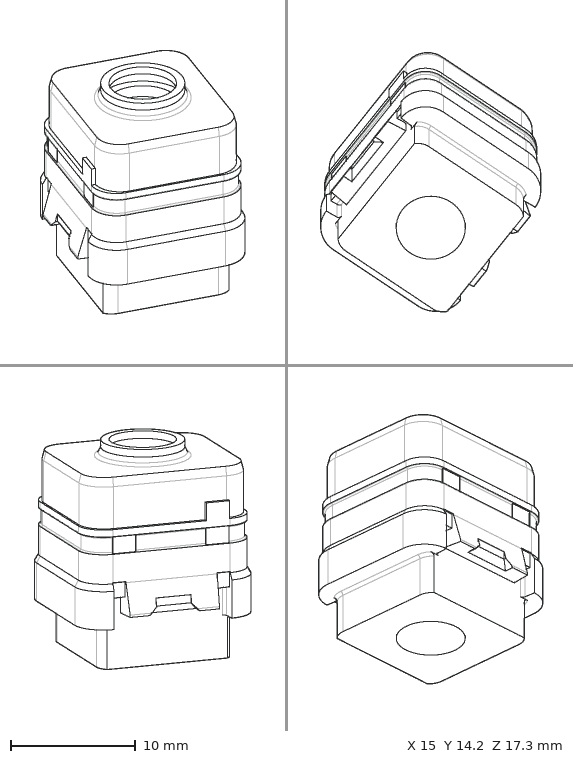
import cadquery as cq
import math

height = 17.33
skirt_bottom = 3.6
latch_bottom = 4.6
latch_lip_top = 4.78
notch_top = 6.1
skirt_shoulder = 6.78
body_bottom = 7.31
recess_top = 7.38
groove_bottom = 9.75
groove_top = 11.2
ring_top = 11.8
tab_top = 13.27
cap_shoulder = 15.27
cap_top = 16.01
neck_fillet_top = 16.27
neck_cone_top = 16.7

body_x = 14.38
body_y = 12.72
body_corner = 2.15
skirt_growth = 0.31
skirt_x = body_x + 2 * skirt_growth
skirt_y = body_y + 2 * skirt_growth
skirt_corner = body_corner + skirt_growth
cap_x = 14.04
cap_y = 12.05
cap_corner = 2.15
cap_taper = 0.19

plug_x = 11.37
plug_full_y = 11.65
plug_corner = 1.5
plug_flat_y = 10.85
plug_fillet = 0.26

groove_depth = 0.2
groove_fillet = 0.12
pad_depth = 0.14
pad_inner = 3.02
pad_outer = 5.0

notch_half = 4.99
notch_mouth_half = 5.08
notch_fillet = plug_fillet
latch_span = 14.15
latch_reach = latch_span / 2
latch_root_half = 4.04
latch_tip_half = 3.85
pocket_half = 1.5
pocket_top = 5.91
pocket_bevel_top = 5.23
pocket_face = 6.75
pocket_foot = 6.27

lip_outer = 3.38
lip_bore = 2.7
neck_cone_base = 3.59
neck_foot = 4.02
undercut_radius = 3.64
ledge_z = 15.53
upper_bore = 2.86
upper_bore_bottom = 14.54
chamber_radius = 3.15
chamber_bottom = 13.93
lower_bore = 2.77

keyway_width = 0.26
keyway_bottom = 12.13
keyway_angle = 34

plug_face = plug_flat_y / 2
body_face = body_y / 2
pad_face = body_face - pad_depth
skirt_face = skirt_y / 2


def rounded_block(size_x, size_y, corner, bottom, top):
    """Upright block, centred on the Z axis, with rounded vertical edges."""
    block = cq.Workplane("XY").box(size_x, size_y, top - bottom, centered=(True, True, False))
    return block.edges("|Z").fillet(corner).translate((0, 0, bottom))


def box_between(x0, x1, y0, y1, z0, z1):
    """Box given by its lower and upper limit along each axis."""
    return cq.Workplane("XY").box(x1 - x0, y1 - y0, z1 - z0, centered=False).translate((x0, y0, z0))


def on_both_y_sides(shape):
    """The shape, made for the -Y side, together with its copy on the +Y side."""
    return shape.union(shape.mirror("XZ"))


def revolved(outline):
    """Solid of revolution about the Z axis from an open XZ outline."""
    return outline.close().revolve(360, (0, 0, 0), (0, 1, 0))


def shoulder(block, run, rise):
    """Bevel the top rim of a block: run inward, rise downward."""
    return block.faces(">Z").edges().chamfer(rise, run)


def make_cap():
    """Rounded block above the ring, with a steep taper around its top."""
    cap = rounded_block(cap_x, cap_y, cap_corner, ring_top, cap_top)
    return shoulder(cap, cap_taper, cap_top - cap_shoulder)


def make_skirted_plug():
    """Skirt over the plug: a concave fillet joins them and the plug's Y sides are cut flat."""
    skirt = rounded_block(skirt_x, skirt_y, skirt_corner, skirt_bottom, body_bottom)
    skirt = shoulder(skirt, skirt_growth, body_bottom - skirt_shoulder)
    plug = rounded_block(plug_x, plug_full_y, plug_corner, 0, skirt_bottom)
    inside_skirt = cq.selectors.BoxSelector(
        (-plug_x / 2, -plug_full_y / 2, skirt_bottom - plug_fillet),
        (plug_x / 2, plug_full_y / 2, skirt_bottom + plug_fillet),
        boundingbox=False,
    )
    joined = skirt.union(plug)
    joined = joined.edges(inside_skirt).fillet(plug_fillet)
    beside_plug = box_between(-skirt_x, skirt_x, -skirt_y, -plug_face, 0, skirt_bottom)
    return joined.cut(on_both_y_sides(beside_plug))


def notch_opening(bottom, top):
    """Upright block that widens slightly from the plug's flat side to the skirt's outer side."""
    return (
        cq.Workplane("XY", origin=(0, 0, bottom))
        .polyline(
            [
                (-notch_half, -plug_face),
                (notch_half, -plug_face),
                (notch_mouth_half, -skirt_face),
                (-notch_mouth_half, -skirt_face),
            ]
        )
        .close()
        .extrude(top - bottom)
    )


def make_notch():
    """Opening in the skirt around the latch, with filleted inner edges and a shallow recess above."""
    notch = notch_opening(skirt_bottom, notch_top)
    notch = notch.faces(">Y").edges("not <Z").fillet(notch_fillet)
    behind_recess = box_between(-skirt_x, skirt_x, -pad_face, 0, notch_top, recess_top)
    recess = notch_opening(notch_top, recess_top).cut(behind_recess)
    return notch.union(recess)


def make_latch():
    """Wedge with drafted ends and a beveled pocket in the middle of its lower edge."""
    profile = (
        cq.Workplane("YZ", origin=(-latch_root_half, 0, 0))
        .polyline(
            [
                (-plug_face, latch_bottom),
                (-latch_reach, latch_bottom),
                (-latch_reach, latch_lip_top),
                (-body_face, body_bottom),
                (-body_face, recess_top),
                (-plug_face, recess_top),
            ]
        )
        .close()
        .extrude(2 * latch_root_half)
    )
    drafted_plan = (
        cq.Workplane("XY")
        .polyline(
            [
                (-latch_root_half, -plug_face),
                (latch_root_half, -plug_face),
                (latch_tip_half, -latch_reach),
                (-latch_tip_half, -latch_reach),
            ]
        )
        .close()
        .extrude(height)
    )
    return profile.intersect(drafted_plan).cut(make_latch_pocket())


def make_latch_pocket():
    """Pocket that widens at 45 degrees, over an inner face that leans inward below the bevel line."""
    bevel = pocket_bevel_top - latch_bottom
    outline = (
        cq.Workplane("XZ")
        .polyline(
            [
                (-pocket_half, pocket_top),
                (pocket_half, pocket_top),
                (pocket_half, pocket_bevel_top),
                (pocket_half + bevel, latch_bottom),
                (-pocket_half - bevel, latch_bottom),
                (-pocket_half, pocket_bevel_top),
            ]
        )
        .close()
        .extrude(body_y)
    )
    depth = (
        cq.Workplane("YZ", origin=(-body_x / 2, 0, 0))
        .polyline(
            [
                (-body_y, pocket_top),
                (-pocket_face, pocket_top),
                (-pocket_face, pocket_bevel_top),
                (-pocket_foot, latch_bottom),
                (-body_y, latch_bottom),
            ]
        )
        .close()
        .extrude(body_x)
    )
    return outline.intersect(depth)


def make_body():
    """Band between skirt and cap, with a round-bottomed groove interrupted by pads."""
    body = rounded_block(body_x, body_y, body_corner, body_bottom, ring_top)
    core = rounded_block(
        body_x - 2 * groove_depth,
        body_y - 2 * groove_depth,
        body_corner - groove_depth,
        groove_bottom,
        groove_top,
    )
    groove = rounded_block(2 * body_x, 2 * body_y, body_corner, groove_bottom, groove_top).cut(core)
    core_rim = cq.selectors.BoxSelector(
        (-body_x / 2, -body_y / 2, groove_bottom - groove_fillet),
        (body_x / 2, body_y / 2, groove_top + groove_fillet),
    )
    groove = groove.edges("#Z").edges(core_rim).fillet(groove_fillet)
    pad = box_between(pad_inner, pad_outer, -pad_face, -plug_face, groove_bottom, groove_top)
    pads = pad.union(pad.mirror("YZ"))
    return body.cut(groove).union(on_both_y_sides(pads))


def make_tab():
    """Key tab standing on the ring at the front right corner."""
    return box_between(pad_inner, pad_outer, -body_face, -plug_face, groove_top, tab_top)


def make_neck():
    """Collar that runs down a cone and a concave fillet onto the cap."""
    fillet_width = neck_foot - neck_cone_base
    fillet_height = neck_fillet_top - cap_top
    fillet_mid = (
        neck_foot - fillet_width * math.sin(math.pi / 4),
        neck_fillet_top - fillet_height * math.sin(math.pi / 4),
    )
    outline = (
        cq.Workplane("XZ")
        .moveTo(0, cap_top)
        .lineTo(neck_foot, cap_top)
        .threePointArc(fillet_mid, (neck_cone_base, neck_fillet_top))
        .lineTo(lip_outer, neck_cone_top)
        .lineTo(lip_outer, height)
        .lineTo(0, height)
    )
    return revolved(outline)


def make_bore():
    """Stepped through bore: lip, conical undercut, ledge, chamber and lower bore."""
    outline = cq.Workplane("XZ").polyline(
        [
            (0, 0),
            (lower_bore, 0),
            (lower_bore, chamber_bottom),
            (chamber_radius, chamber_bottom),
            (chamber_radius, upper_bore_bottom),
            (upper_bore, upper_bore_bottom),
            (upper_bore, ledge_z),
            (undercut_radius, ledge_z),
            (lip_bore, neck_cone_top),
            (lip_bore, height),
            (0, height),
        ]
    )
    return revolved(outline)


def make_keyway():
    """Upright slot that opens the lower bore out to the chamber wall."""
    half_width = keyway_width / 2
    slot = box_between(0, chamber_radius, -half_width, half_width, keyway_bottom, chamber_bottom)
    return slot.rotate((0, 0, 0), (0, 0, 1), keyway_angle)


result = make_skirted_plug().union(make_body())
result = result.cut(on_both_y_sides(make_notch()))
result = result.union(on_both_y_sides(make_latch()))
result = result.union(make_cap()).union(make_tab()).union(make_neck())
result = result.cut(make_bore()).cut(make_keyway())